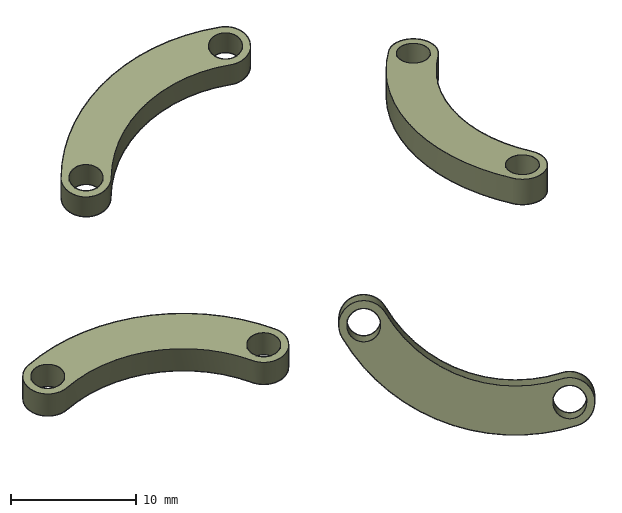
import cadquery as cq
import math

length_y = 20.5
thickness = 2.5
outer_radius = 16.0
inner_radius = 12.0
hole_diameter = 2.7
upper_angle = 120.9

mid_radius = (outer_radius + inner_radius) / 2
end_radius = (outer_radius - inner_radius) / 2

upper_hole_y = mid_radius * math.sin(math.radians(upper_angle))
lower_hole_y = upper_hole_y - (length_y - 2 * end_radius)
lower_angle = 180 - math.degrees(math.asin(lower_hole_y / mid_radius))
middle_angle = (upper_angle + lower_angle) / 2


def polar_point(radius, angle):
    """Point at a radius and an angle in degrees about the bend centre."""
    radians = math.radians(angle)
    return (radius * math.cos(radians), radius * math.sin(radians))


def end_tip(angle, turn):
    """Tip of a rounded end, one end radius beyond its hole along the arc."""
    hole_x, hole_y = polar_point(mid_radius, angle)
    step_x, step_y = polar_point(end_radius, angle + turn)
    return (hole_x + step_x, hole_y + step_y)


body = (
    cq.Workplane("XY")
    .moveTo(*polar_point(outer_radius, upper_angle))
    .threePointArc(polar_point(outer_radius, middle_angle), polar_point(outer_radius, lower_angle))
    .threePointArc(end_tip(lower_angle, 90), polar_point(inner_radius, lower_angle))
    .threePointArc(polar_point(inner_radius, middle_angle), polar_point(inner_radius, upper_angle))
    .threePointArc(end_tip(upper_angle, -90), polar_point(outer_radius, upper_angle))
    .close()
    .extrude(thickness)
)

hole_centers = [polar_point(mid_radius, angle) for angle in (upper_angle, lower_angle)]
holes = (
    cq.Workplane("XY")
    .pushPoints(hole_centers)
    .circle(hole_diameter / 2)
    .extrude(thickness)
)

result = body.cut(holes)